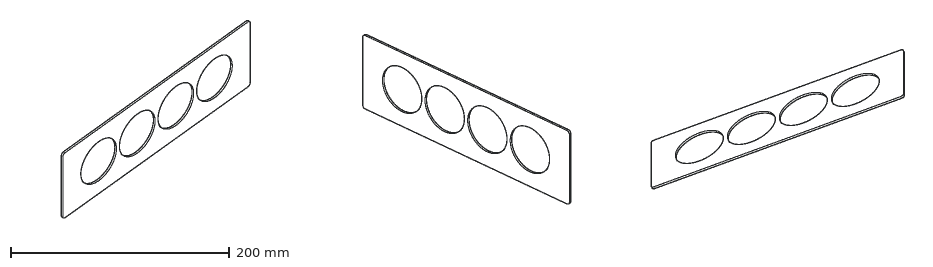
import cadquery as cq

thickness = 2.2
length = 252.0
height = 80.0
corner_radius = 3.0

hole_count = 4
hole_diameter = 48.0
hole_pitch = 52.0

plate = cq.Workplane("YZ").rect(length, height).extrude(thickness)
plate = plate.edges("|X").fillet(corner_radius)

openings = (
    cq.Workplane("YZ")
    .rarray(hole_pitch, height, hole_count, 1)
    .circle(hole_diameter / 2)
    .extrude(thickness)
)

result = plate.cut(openings)